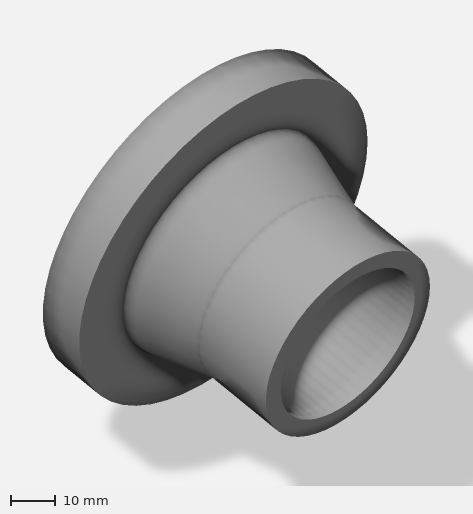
import cadquery as cq

flange_diameter = 88.0
flange_thickness = 12.0
neck_base_diameter = 60.9
pipe_diameter = 50.1
bore_diameter = 40.8
neck_end = 30.9
total_length = 53.0

half_section = (
    cq.Workplane("XY")
    .moveTo(0, bore_diameter / 2)
    .lineTo(0, flange_diameter / 2)
    .lineTo(flange_thickness, flange_diameter / 2)
    .lineTo(flange_thickness, neck_base_diameter / 2)
    .lineTo(neck_end, pipe_diameter / 2)
    .lineTo(total_length, pipe_diameter / 2)
    .lineTo(total_length, bore_diameter / 2)
    .close()
)

result = half_section.revolve(360, (0, 0, 0), (1, 0, 0))